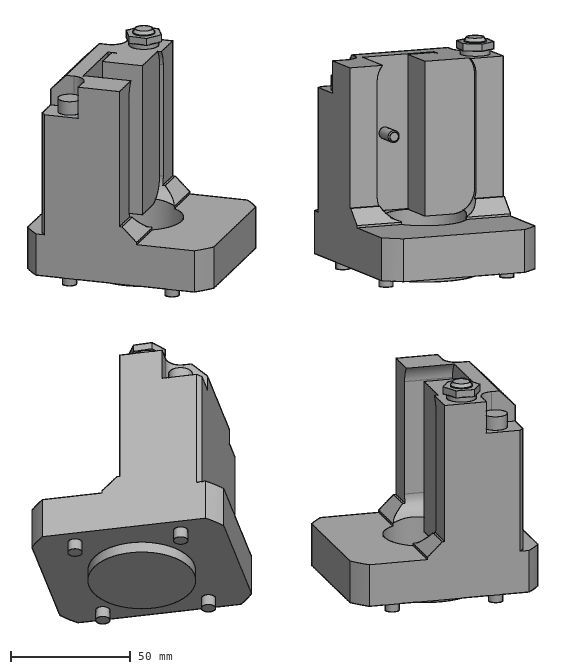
import cadquery as cq


base_length = 82.0
base_width = 70.0
base_height = 18.2
base_corner_radius = 49.4
total_height = 96.9

spigot_diameter = 45.0
spigot_height = 4.8
dowel_diameter = 6.0
dowel_x = 22.6
dowel_y = 27.5

column_back_x = -32.8
column_front_x = 1.9
column_top_z = 84.9
back_chamfer = 6.9
corner_chamfer_x = 1.8
corner_chamfer_y = 2.2
toe_flat_x = 3.0
toe_end_x = 9.5
toe_top_z = 25.4

channel_back_x = -19.0
channel_floor_z = 19.2
channel_width = spigot_diameter
channel_corner_radius = 10.0
channel_top_z = 88.25
bore_diameter = 35.0

block_back_x = -17.3
block_front_x = 0.3
block_heel_y = 12.5
block_lead_in_x = 1.9
block_lead_in_y = 0.4

cross_pin_z = (channel_floor_z + column_top_z) / 2
stop_pin_diameter = 5.0
stop_pin_y = -10.0
stop_pin_length = 10.0
stop_pin_chamfer = 0.6
block_pin_diameter = 6.0
block_pin_y = 7.7

seat_front_x = -16.3
seat_inner_y = 21.9
seat_corner_radius = 6.3
seat_depth = 13.8
screw_x = -22.5
screw_y = 27.4
screw_diameter = 10.0
screw_head_height = 5.9

set_screw_x = -7.9
set_screw_y = 26.4
collar_diameter = 12.6
collar_height = 2.2
nut_corner_diameter = 15.9
nut_height = 3.1
nut_angle = -3.0
tip_diameter = 9.3
tip_top_diameter = 7.4
tip_taper_height = 1.5


def cylinder(x, y, bottom_z, top_z, diameter):
    """Upright cylinder."""
    disc = cq.Workplane("XY", origin=(x, y, bottom_z)).circle(diameter / 2)
    return disc.extrude(top_z - bottom_z)


def box_between(x_range, y_range, z_range):
    """Box given by its limits along each axis."""
    sizes = [high - low for low, high in (x_range, y_range, z_range)]
    corner = (x_range[0], y_range[0], z_range[0])
    return cq.Workplane("XY", origin=corner).box(*sizes, centered=False)


def base_plate():
    """Rectangular plate whose corners are turned to a common radius."""
    plate = cq.Workplane("XY").rect(base_length, base_width).extrude(base_height)
    return plate.intersect(cylinder(0, 0, 0, base_height, 2 * base_corner_radius))


def column():
    """Full-width column with a chamfered back and a ramped toe."""
    profile = [
        (column_back_x, base_height),
        (column_back_x, column_top_z - back_chamfer),
        (column_back_x + back_chamfer, column_top_z),
        (column_front_x, column_top_z),
        (column_front_x, toe_top_z),
        (toe_flat_x, toe_top_z),
        (toe_end_x, channel_floor_z),
        (toe_end_x, base_height),
    ]
    body = cq.Workplane("XZ").polyline(profile).close().extrude(base_width / 2, both=True)
    half_width = base_width / 2
    footprint = [
        (column_back_x, half_width - corner_chamfer_y),
        (column_back_x + corner_chamfer_x, half_width),
        (toe_end_x, half_width),
        (toe_end_x, -half_width),
        (column_back_x + corner_chamfer_x, -half_width),
        (column_back_x, -half_width + corner_chamfer_y),
    ]
    return body.intersect(cq.Workplane("XY").polyline(footprint).close().extrude(column_top_z))


def channel():
    """Rounded channel along X, open at the front and through the column top."""
    height = channel_top_z - channel_floor_z
    length = toe_end_x - channel_back_x
    middle = (channel_back_x, 0, channel_floor_z + height / 2)
    void = cq.Workplane("YZ", origin=middle).rect(channel_width, height).extrude(length)
    return void.edges("|X").fillet(channel_corner_radius)


def clamping_block():
    """Block filling one side of the channel, with a narrow gap behind it."""
    wall_y = channel_width / 2
    outline = [
        (block_back_x, 0),
        (block_front_x, 0),
        (block_front_x, wall_y),
        (channel_back_x, wall_y),
        (channel_back_x, block_heel_y),
        (block_back_x + block_lead_in_x, block_heel_y),
        (block_back_x, block_heel_y - block_lead_in_y),
    ]
    block = cq.Workplane("XY", origin=(0, 0, channel_floor_z)).polyline(outline).close()
    return block.extrude(column_top_z - channel_floor_z).intersect(channel())


def cross_pin(y, diameter, length):
    """Pin along X, rooted in the back wall of the channel."""
    root = (channel_back_x, y, cross_pin_z)
    return cq.Workplane("YZ", origin=root).circle(diameter / 2).extrude(length)


def screw_seat(side):
    """Corner notch for a screw head; side is +1 or -1 along Y."""
    y_range = sorted((side * seat_inner_y, side * base_width))
    seat = box_between(
        (-base_length, seat_front_x), y_range, (column_top_z - seat_depth, column_top_z)
    )
    inner_edge = "<Y" if side > 0 else ">Y"
    return seat.faces(">X").edges(inner_edge).fillet(seat_corner_radius)


def set_screw():
    """Collar, hexagonal nut and tapered tip."""
    nut_z = column_top_z + collar_height
    tip_z = nut_z + nut_height
    top_z = total_height - spigot_height
    collar = cylinder(set_screw_x, set_screw_y, column_top_z, nut_z, collar_diameter)
    nut = cq.Workplane("XY").polygon(6, nut_corner_diameter).extrude(nut_height)
    nut = nut.rotate((0, 0, 0), (0, 0, 1), nut_angle).translate((set_screw_x, set_screw_y, nut_z))
    tip = cylinder(set_screw_x, set_screw_y, tip_z, top_z, tip_diameter)
    taper = (tip_diameter - tip_top_diameter) / 2
    tip = tip.faces(">Z").chamfer(tip_taper_height, taper)
    return collar.union(nut).union(tip)


result = base_plate().union(column()).cut(channel())
result = result.cut(cylinder(0, 0, 0, toe_top_z, bore_diameter))

result = result.union(cylinder(0, 0, -spigot_height, 0, spigot_diameter))
for pin_x in (-dowel_x, dowel_x):
    for pin_y in (-dowel_y, dowel_y):
        result = result.union(cylinder(pin_x, pin_y, -spigot_height, 0, dowel_diameter))

stop_pin = cross_pin(stop_pin_y, stop_pin_diameter, stop_pin_length)
stop_pin = stop_pin.faces(">X").chamfer(stop_pin_chamfer)
block_pin = cross_pin(block_pin_y, block_pin_diameter, block_back_x - channel_back_x)
result = result.union(clamping_block()).union(stop_pin).union(block_pin)

seat_floor_z = column_top_z - seat_depth
for side in (-1, 1):
    head_top_z = seat_floor_z + screw_head_height
    screw_head = cylinder(screw_x, side * screw_y, seat_floor_z, head_top_z, screw_diameter)
    result = result.cut(screw_seat(side)).union(screw_head)

result = result.union(set_screw())